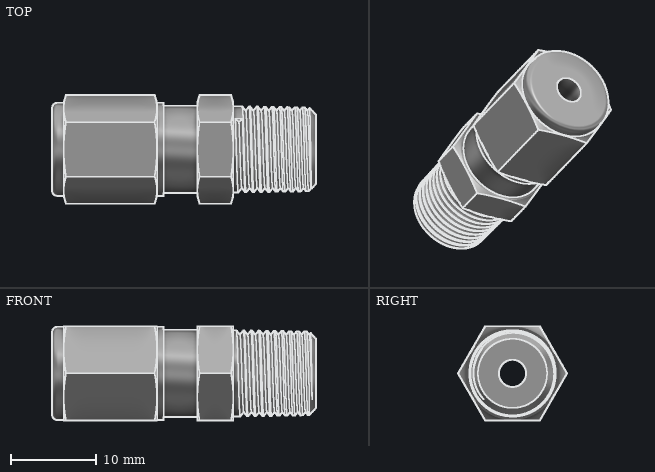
import cadquery as cq
import math

total_length = 31.0
bore_radius = 1.58

across_flats = 11.1
corner_radius = across_flats / math.sqrt(3)
nut_start = 1.35
nut_end = 12.35
body_hex_start = 17.05
body_hex_end = 21.3
hex_chamfer_length = 0.28

collar_radius = 5.5
collar_end = 13.1
collar_fillet = 0.65
neck_radius = 5.15

thread_radius = 5.08
thread_tip_radius = 4.93
tip_face_radius = 4.05
tip_chamfer_length = 0.8
root_radius = 4.55
groove_width = 0.9
groove_mouth_radius = 5.1
groove_start = 21.95
groove_start_angle = 45.0
turns_to_tip = 10
pitch = (total_length - groove_start) / turns_to_tip
groove_runout = pitch


def cylinder(start, end, radius):
    """Round bar along X."""
    return cq.Workplane("YZ", origin=(start, 0, 0)).circle(radius).extrude(end - start)


def revolve_about_x(points):
    """Solid of revolution from an (x, radius) outline."""
    return cq.Workplane("XY").polyline(points).close().revolve(360, (0, 0, 0), (1, 0, 0))


def chamfered_hex(start, end):
    """Hexagonal bar along X with both ends turned to a cone."""
    bar = cq.Workplane("YZ", origin=(start, 0, 0)).polygon(6, 2 * corner_radius).extrude(end - start)
    turned = revolve_about_x([
        (start, 0),
        (start, collar_radius),
        (start + hex_chamfer_length, corner_radius),
        (end - hex_chamfer_length, corner_radius),
        (end, collar_radius),
        (end, 0),
    ])
    return bar.intersect(turned)


def thread_blank():
    """Tapered shank with a chamfered tip."""
    return revolve_about_x([
        (body_hex_end, 0),
        (body_hex_end, thread_radius),
        (total_length - tip_chamfer_length, thread_tip_radius),
        (total_length, tip_face_radius),
        (total_length, 0),
    ])


def thread_groove():
    """Right-handed V groove that starts abruptly and runs out past the tip."""
    groove_length = total_length + groove_runout - groove_start
    helix = cq.Wire.makeHelix(pitch, groove_length, root_radius)
    groove = (
        cq.Workplane("XZ")
        .polyline([
            (root_radius, 0),
            (groove_mouth_radius, groove_width / 2),
            (groove_mouth_radius, -groove_width / 2),
        ])
        .close()
        .sweep(cq.Workplane(obj=helix), isFrenet=True)
    )
    return (
        groove
        .rotate((0, 0, 0), (0, 0, 1), groove_start_angle - 90)
        .rotate((0, 0, 0), (0, 1, 0), 90)
        .rotate((0, 0, 0), (1, 0, 0), 180)
        .translate((groove_start, 0, 0))
    )


nut = (
    cylinder(0, collar_end, collar_radius)
    .faces("<X").edges().fillet(collar_fillet)
    .union(chamfered_hex(nut_start, nut_end))
)
neck = cylinder(nut_end, body_hex_start, neck_radius)
body_hex = chamfered_hex(body_hex_start, body_hex_end)
thread = thread_blank().cut(thread_groove())
bore = cylinder(0, total_length, bore_radius)

result = nut.union(neck).union(body_hex).union(thread).cut(bore)